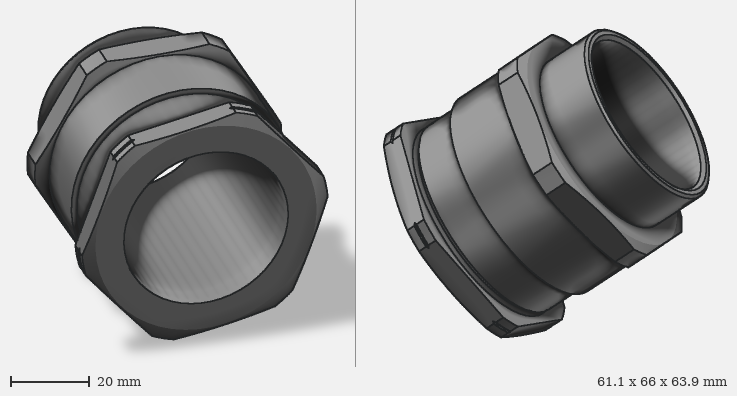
import cadquery as cq
import math


spigot_radius = 24.95
spigot_length = 15.4
spigot_chamfer = 0.75

bore_radius = 22.0
bore_chamfer = 1.0

across_flats = 60.0
corner_radius = 33.0
hex_chamfer_slope = math.tan(math.radians(15))

body_hex_length = 8.0
body_hex_start = spigot_length
body_hex_end = body_hex_start + body_hex_length
barrel_radius = 29.45
barrel_end = 41.15

sleeve_radius = 27.95
groove_bottom_x = 53.85
groove_depth = 1.15
groove_bottom_radius = sleeve_radius - groove_depth
sleeve_end = groove_bottom_x - groove_depth

total_length = 61.1
nut_length = 6.4
nut_start = total_length - nut_length
nut_turn = 10.0
nut_face_radius = 29.6
nut_groove_x = 57.5
nut_groove_width = 0.75
nut_groove_depth = 0.3


def revolve_about_x(points):
    """Solid of revolution about X from (x, radius) points."""
    return cq.Workplane("XZ").polyline(points).close().revolve(360, (0, 0, 0), (1, 0, 0))


def hex_prism(start, end, turn):
    """Hexagon along X with flats facing up and down, turned about X by the given angle."""
    across_corners = across_flats / math.cos(math.pi / 6)
    prism = cq.Workplane("YZ", origin=(start, 0, 0)).polygon(6, across_corners).extrude(end - start)
    return prism.rotate((0, 0, 0), (1, 0, 0), turn)


def make_core():
    """Spigot, barrel and sleeve with the V groove, continued solid through the nut."""
    return revolve_about_x([
        (0, 0),
        (0, spigot_radius - spigot_chamfer),
        (spigot_chamfer, spigot_radius),
        (body_hex_start, spigot_radius),
        (body_hex_start, barrel_radius),
        (barrel_end, barrel_radius),
        (barrel_end, sleeve_radius),
        (sleeve_end, sleeve_radius),
        (groove_bottom_x, groove_bottom_radius),
        (nut_start, sleeve_radius),
        (total_length, sleeve_radius),
        (total_length, 0),
    ])


def make_body_hex():
    """Hexagon with turned corners, chamfered on both faces."""
    front_face_radius = across_flats / 2
    front_chamfer = (corner_radius - front_face_radius) * hex_chamfer_slope
    back_chamfer = (corner_radius - barrel_radius) * hex_chamfer_slope
    turned = revolve_about_x([
        (body_hex_start, 0),
        (body_hex_start, front_face_radius),
        (body_hex_start + front_chamfer, corner_radius),
        (body_hex_end - back_chamfer, corner_radius),
        (body_hex_end, barrel_radius),
        (body_hex_end, 0),
    ])
    return hex_prism(body_hex_start, body_hex_end, 0).intersect(turned)


def make_nut():
    """Turned hexagon, chamfered on its outer face, with a V notch around the corners."""
    chamfer = (corner_radius - nut_face_radius) * hex_chamfer_slope
    turned = revolve_about_x([
        (nut_start, 0),
        (nut_start, corner_radius),
        (nut_groove_x - nut_groove_width / 2, corner_radius),
        (nut_groove_x, corner_radius - nut_groove_depth),
        (nut_groove_x + nut_groove_width / 2, corner_radius),
        (total_length - chamfer, corner_radius),
        (total_length, nut_face_radius),
        (total_length, 0),
    ])
    return hex_prism(nut_start, total_length, nut_turn).intersect(turned)


def make_bore():
    """Through bore with a chamfered mouth at the spigot end."""
    return revolve_about_x([
        (0, 0),
        (0, bore_radius + bore_chamfer),
        (bore_chamfer, bore_radius),
        (total_length, bore_radius),
        (total_length, 0),
    ])


result = make_core().union(make_body_hex()).union(make_nut()).cut(make_bore())